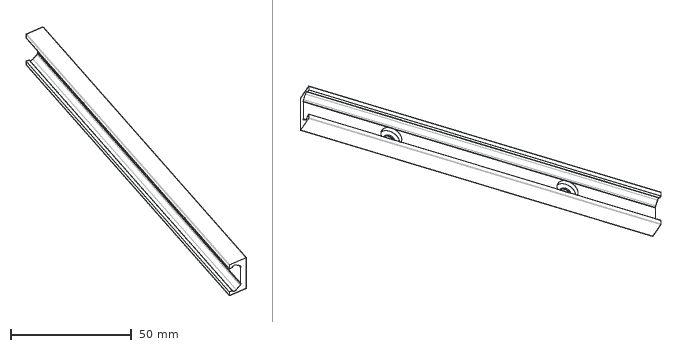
import cadquery as cq

length = 160.0
depth = 8.3
height = 18.0

web_thickness = 2.9
web_half_height = 4.8
relief_depth = 0.24
slope_half_height = 5.6
relief_arc_position = 0.7
slope_rise = 0.2
lip_half_opening = 6.7
lip_width = 1.5
outer_edge_radius = 0.2
groove_half_height = 7.5
groove_start = 5.0
groove_crest = 6.0
groove_start_half_height = 7.2

hole_diameter = 5.0
counterbore_diameter = 9.5
counterbore_depth = 2.0
hole_spacing = length / 2

back_y = depth / 2
front_y = -depth / 2
web_y = back_y - web_thickness
lip_y = front_y + lip_width
relief_y = web_y + relief_depth
slope_y = web_y - slope_rise
start_y = back_y - groove_start
relief_middle = web_half_height + relief_arc_position * (slope_half_height - web_half_height)
crest_y = back_y - groove_crest


def make_channel():
    """Solid bar with a lipped channel running along its whole length."""
    bar = cq.Workplane("XY").box(length, depth, height)
    bar = bar.edges("|X").fillet(outer_edge_radius)
    cavity = (
        cq.Workplane("YZ", origin=(-length / 2, 0, 0))
        .moveTo(front_y, -lip_half_opening)
        .lineTo(front_y, lip_half_opening)
        .lineTo(lip_y, lip_half_opening)
        .threePointArc((crest_y, groove_half_height), (start_y, groove_start_half_height))
        .lineTo(slope_y, slope_half_height)
        .threePointArc((web_y, relief_middle), (relief_y, web_half_height))
        .lineTo(web_y, web_half_height)
        .lineTo(web_y, -web_half_height)
        .lineTo(relief_y, -web_half_height)
        .threePointArc((web_y, -relief_middle), (slope_y, -slope_half_height))
        .lineTo(start_y, -groove_start_half_height)
        .threePointArc((crest_y, -groove_half_height), (lip_y, -lip_half_opening))
        .close()
        .extrude(length)
    )
    return bar.cut(cavity)


def add_mounting_holes(channel):
    """Counterbored holes through the web, sunk from the channel side."""
    return (
        channel.copyWorkplane(cq.Workplane("XZ", origin=(0, web_y, 0)))
        .pushPoints([(-hole_spacing / 2, 0), (hole_spacing / 2, 0)])
        .cboreHole(hole_diameter, counterbore_diameter, counterbore_depth)
    )


result = add_mounting_holes(make_channel())